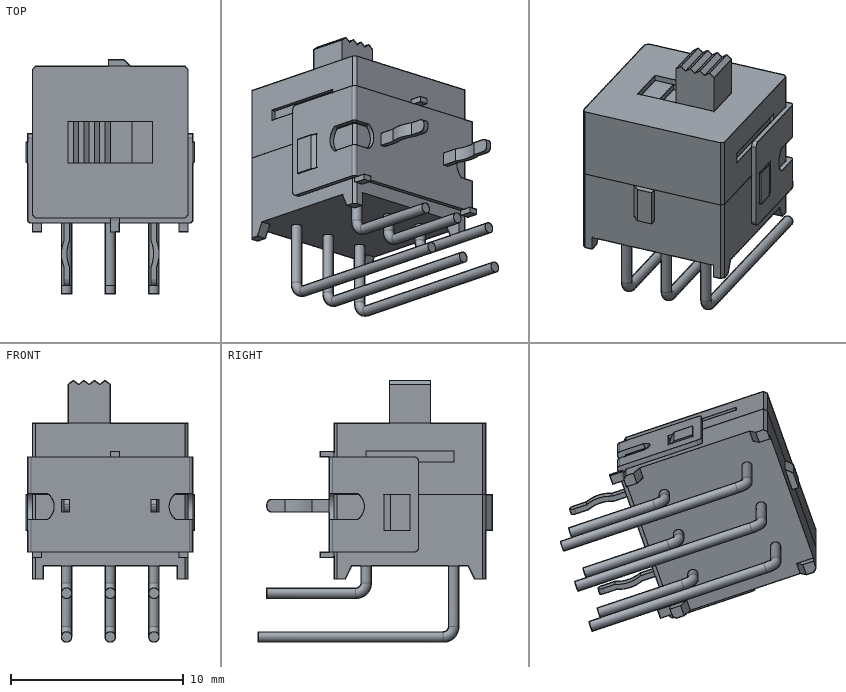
import cadquery as cq
import math


HOUSING_X = 9.03
HOUSING_Y = 8.82
CORNER_CHAMFER = 0.18
COVER_TOP = 8.29
PARTING_Z = 4.14

COVER_ROOF = 0.33
COVER_WALL = 0.25
SLOT_X = 4.9
SLOT_Y = 2.4
WINDOW_Y = 5.1
WINDOW_TOP = 6.66
WINDOW_BOTTOM = 6.04

INSERT_TOP = COVER_TOP - COVER_ROOF
POCKET_DEPTH = 0.33
POCKET_END_X = 1.28
POCKET_FLOOR = INSERT_TOP - POCKET_DEPTH

KNOB_TOP = 10.77
RIDGE_HEIGHT = 0.23
RIDGE_COUNT = 4
KNOB_X = SLOT_X / 2

FOOT_HEIGHT = 0.78
FOOT_X = 0.64
FOOT_TIP_Y = 0.65
FOOT_ROOT_Y = 1.03

LUG_RISE = 0.38
LUG_LENGTH = 1.52
LUG_BOTTOM = 2.05
BACK_LUG_START_X = -0.1
BACK_LUG_LENGTH = 1.3

PIN_DIAMETER = 0.61
PIN_PITCH = 2.54
PIN_BEND_RADIUS = 0.61
FRONT_ROW_Z = -1.6
FRONT_ROW_END_Y = -8.32
BACK_ROW_Z = FRONT_ROW_Z - PIN_PITCH
BACK_ROW_END_Y = -8.82

SHEET = 0.29
BRACKET_TOP = 6.33
BRACKET_BOTTOM = 0.79
BRACKET_BACK_Y = 0.5
BRACKET_EDGE_RADIUS = 0.2
BRACKET_BACK_RADIUS = 0.27
BRACKET_X = HOUSING_X + 2 * SHEET
BRACKET_FRONT_Y = -HOUSING_Y / 2 - SHEET

OPENING_TOP = 4.2
OPENING_BOTTOM = 2.69
OPENING_BULGE = 0.4
OPENING_LEFT_X = -3.65
OPENING_RIGHT_X = 3.82
OPENING_STRAIGHT_Y = 3.04

TAB_LENGTH = 0.8
TAB_THICKNESS = 0.32
TAB_WIDTH = 0.53
TAB_REAR_RADIUS = 0.1

LEG_X = 2.52
LEG_THICKNESS = 0.32
LEG_TOP = 3.86
LEG_BOTTOM = 3.12
LEG_END_Y = -8.32
LEG_TIP_RADIUS = 0.3
KINK_START_Y = -5.7
KINK_END_Y = -7.27
KINK_OFFSET = 0.15


def box(x0, x1, y0, y1, z0, z1):
    """Box between two corner positions."""
    return cq.Workplane("XY").box(x1 - x0, y1 - y0, z1 - z0, centered=False).translate((x0, y0, z0))


def housing_block(z0, z1):
    """Rectangular housing block with chamfered upright corners."""
    block = cq.Workplane("XY").workplane(offset=z0).rect(HOUSING_X, HOUSING_Y).extrude(z1 - z0)
    return block.edges("|Z").chamfer(CORNER_CHAMFER)


def cover_cavity():
    """Room inside the cover, which the insert fills."""
    half_x = HOUSING_X / 2 - COVER_WALL
    half_y = HOUSING_Y / 2 - COVER_WALL
    return box(-half_x, half_x, -half_y, half_y, PARTING_Z, INSERT_TOP)


def make_cover():
    slot = box(-SLOT_X / 2, SLOT_X / 2, -SLOT_Y / 2, SLOT_Y / 2, INSERT_TOP, COVER_TOP)
    windows = box(-HOUSING_X / 2, HOUSING_X / 2, -WINDOW_Y / 2, WINDOW_Y / 2, WINDOW_BOTTOM, WINDOW_TOP)
    return housing_block(PARTING_Z, COVER_TOP).cut(cover_cavity()).cut(slot).cut(windows)


def make_insert():
    pocket = box(-SLOT_X / 2, POCKET_END_X, -SLOT_Y / 2, SLOT_Y / 2, POCKET_FLOOR, INSERT_TOP)
    return cover_cavity().cut(pocket)


def make_slider():
    pitch = KNOB_X / RIDGE_COUNT
    valley_z = KNOB_TOP - RIDGE_HEIGHT
    outline = [(0, POCKET_FLOOR), (-KNOB_X, POCKET_FLOOR), (-KNOB_X, valley_z)]
    for ridge in range(RIDGE_COUNT):
        start_x = -KNOB_X + ridge * pitch
        outline += [(start_x + pitch / 2, KNOB_TOP), (start_x + pitch, valley_z)]
    return cq.Workplane("XZ").polyline(outline).close().extrude(SLOT_Y / 2, both=True)


def feet_channels():
    """Material removed below the base floor to leave a foot at each corner."""
    half_y = HOUSING_Y / 2
    tip_y = half_y - FOOT_TIP_Y
    root_y = half_y - FOOT_ROOT_Y
    outline = [(-tip_y, -FOOT_HEIGHT), (tip_y, -FOOT_HEIGHT), (root_y, 0), (-root_y, 0)]
    along_x = cq.Workplane("YZ").polyline(outline).close().extrude(HOUSING_X / 2, both=True)
    inner_x = HOUSING_X / 2 - FOOT_X
    along_y = box(-inner_x, inner_x, -half_y, half_y, -FOOT_HEIGHT, 0)
    return along_x.union(along_y)


def lug(points):
    """Upright lug with the given plan outline."""
    plan = cq.Workplane("XY").workplane(offset=LUG_BOTTOM).polyline(points).close()
    return plan.extrude(PARTING_Z - LUG_BOTTOM)


def side_lug(side):
    wall_x = side * HOUSING_X / 2
    tip_x = wall_x + side * LUG_RISE
    return lug([(wall_x, 0), (tip_x, 0), (tip_x, LUG_RISE - LUG_LENGTH), (wall_x, -LUG_LENGTH)])


def back_lug():
    wall_y = HOUSING_Y / 2
    tip_y = wall_y + LUG_RISE
    end_x = BACK_LUG_START_X + BACK_LUG_LENGTH
    return lug([
        (BACK_LUG_START_X, wall_y),
        (BACK_LUG_START_X, tip_y),
        (end_x - LUG_RISE, tip_y),
        (end_x, wall_y),
    ])


def bent_pin(x, y, run_z, end_y):
    """Round pin that drops from the base floor and turns toward -Y."""
    path = (
        cq.Workplane("YZ", origin=(x, 0, 0))
        .moveTo(y, 0)
        .lineTo(y, run_z + PIN_BEND_RADIUS)
        .radiusArc((y - PIN_BEND_RADIUS, run_z), PIN_BEND_RADIUS)
        .lineTo(end_y, run_z)
    )
    return cq.Workplane("XY", origin=(x, y, 0)).circle(PIN_DIAMETER / 2).sweep(path)


def make_base():
    base = housing_block(-FOOT_HEIGHT, PARTING_Z).cut(feet_channels())
    base = base.union(side_lug(-1)).union(side_lug(1)).union(back_lug())
    for column in (-1, 0, 1):
        x = column * PIN_PITCH
        base = base.union(bent_pin(x, -PIN_PITCH, FRONT_ROW_Z, FRONT_ROW_END_Y))
        base = base.union(bent_pin(x, PIN_PITCH, BACK_ROW_Z, BACK_ROW_END_Y))
    return base


def rounded_opening(plane, straight, reach):
    """Outline of an opening that runs outward from its bulged inner end."""
    middle_z = (OPENING_TOP + OPENING_BOTTOM) / 2
    inner_end = straight - math.copysign(OPENING_BULGE, straight)
    return (
        cq.Workplane(plane)
        .moveTo(reach, OPENING_BOTTOM)
        .lineTo(straight, OPENING_BOTTOM)
        .threePointArc((inner_end, middle_z), (straight, OPENING_TOP))
        .lineTo(reach, OPENING_TOP)
        .close()
    )


def corner_openings():
    half_x = BRACKET_X / 2
    depth = SHEET + CORNER_CHAMFER
    openings = []
    for side, straight_x in ((-1, OPENING_LEFT_X), (1, OPENING_RIGHT_X)):
        front = rounded_opening("XZ", straight_x, side * half_x).extrude(depth)
        front = front.translate((0, BRACKET_FRONT_Y + depth, 0))
        flank = rounded_opening("YZ", -OPENING_STRAIGHT_Y, BRACKET_FRONT_Y).extrude(side * depth)
        flank = flank.translate((side * (half_x - depth), 0, 0))
        openings += [front, flank]
    return openings


def solder_leg(side):
    """Flat leg whose middle kinks outward, with a rounded tip."""
    inner_x = side * (LEG_X - LEG_THICKNESS / 2)
    outer_x = side * (LEG_X + LEG_THICKNESS / 2)
    kink = side * KINK_OFFSET
    kink_y = (KINK_START_Y + KINK_END_Y) / 2
    start_y = -HOUSING_Y / 2
    leg = (
        cq.Workplane("XY", origin=(0, 0, LEG_BOTTOM))
        .moveTo(inner_x, start_y)
        .lineTo(inner_x, KINK_START_Y)
        .threePointArc((inner_x + kink, kink_y), (inner_x, KINK_END_Y))
        .lineTo(inner_x, LEG_END_Y)
        .lineTo(outer_x, LEG_END_Y)
        .lineTo(outer_x, KINK_END_Y)
        .threePointArc((outer_x + kink, kink_y), (outer_x, KINK_START_Y))
        .lineTo(outer_x, start_y)
        .close()
        .extrude(LEG_TOP - LEG_BOTTOM)
    )
    return leg.edges("|X and <Y").fillet(LEG_TIP_RADIUS)


def tab(x0, z0, outer_edge):
    """Small tab that stands out from the front of the bracket, rounded where it turns from its plate."""
    front_y = -HOUSING_Y / 2
    body = box(x0, x0 + TAB_WIDTH, front_y - TAB_LENGTH, front_y, z0, z0 + TAB_THICKNESS)
    return body.edges("|X and >Y").edges(outer_edge).fillet(TAB_REAR_RADIUS)


def make_bracket():
    half_x = BRACKET_X / 2
    plate = box(-half_x, half_x, BRACKET_FRONT_Y, BRACKET_BACK_Y, BRACKET_BOTTOM, BRACKET_TOP)
    plate = plate.edges("|Z and <Y").fillet(BRACKET_EDGE_RADIUS)
    plate = plate.edges("|X and >Y").fillet(BRACKET_BACK_RADIUS)
    bracket = plate
    for opening in corner_openings():
        bracket = bracket.cut(opening)
    for side in (-1, 1):
        bracket = bracket.union(solder_leg(side))
    bracket = bracket.union(tab(0, BRACKET_TOP, ">Z"))
    low_z = BRACKET_BOTTOM - TAB_THICKNESS
    for low_x in (-HOUSING_X / 2, HOUSING_X / 2 - TAB_WIDTH):
        bracket = bracket.union(tab(low_x, low_z, "<Z"))
    bracket = bracket.cut(housing_block(-FOOT_HEIGHT, COVER_TOP))
    windows = box(-half_x, half_x, -LUG_LENGTH, 0, LUG_BOTTOM, PARTING_Z)
    return bracket.cut(windows)


cover = make_cover()
insert = make_insert()
slider = make_slider()
base = make_base()
bracket = make_bracket()

result = cq.Compound.makeCompound([
    cover.val(),
    insert.val(),
    slider.val(),
    base.val(),
    bracket.val(),
])